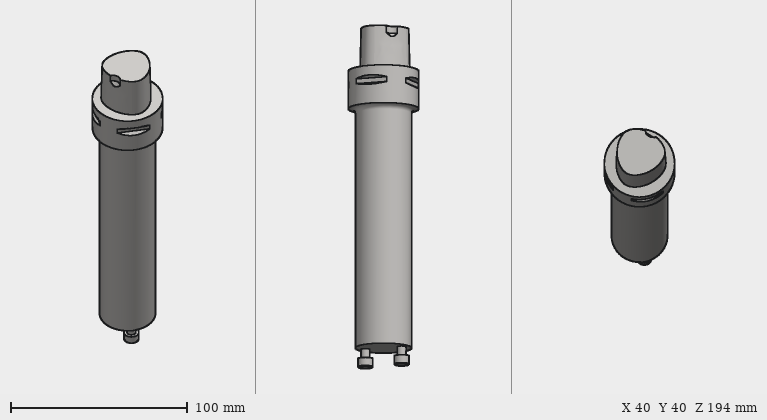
import cadquery as cq
import math

total_length = 194.0
coupling_length = 24.0
flange_length = 21.7
flange_top = total_length - coupling_length
flange_bottom = flange_top - flange_length

body_diameter = 32.0
flange_diameter = 40.0
neck_fillet = 2.7

screw_shank_diameter = 5.0
screw_head_diameter = 8.5
screw_head_length = 5.2
screw_shank_length = 5.2
screw_chamfer = 0.5
screw_spacing = 15.7
screw_offset = screw_spacing / 2
body_bottom = screw_head_length + screw_shank_length

coupling_base_diameter = 28.3
coupling_base_radius = coupling_base_diameter / 2
coupling_taper = 1 / 40
coupling_top_radius = coupling_base_radius - coupling_length * coupling_taper
lobe_eccentricity = 0.87
lobe_half_angle = 26.5
lobe_count = 3
lobe_spacing = 360 / lobe_count
first_lobe_angle = 90.0
points_per_stretch = 9

notch_radius = 4.0
notch_axis_y = -14.7
notch_straight_depth = 4.0
notch_tip_angle = 90.0

groove_count = 4
groove_first_angle = 45.0
groove_floor_distance = 17.7
groove_floor_width = 2.7
groove_flank_angle = 30.0
groove_z = 161.8


def coupling_point(radius, angle):
    """Point of the lobed outline whose outward normal has the given angle."""
    normal = math.radians(angle)
    phase = math.radians(lobe_count * (angle - first_lobe_angle))
    reach = radius + lobe_eccentricity * math.cos(phase)
    slide = -lobe_count * lobe_eccentricity * math.sin(phase)
    x = reach * math.cos(normal) - slide * math.sin(normal)
    y = reach * math.sin(normal) + slide * math.cos(normal)
    return cq.Vector(x, y, 0)


def coupling_stretch(radius, start, end):
    """Smooth piece of the lobed outline between two normal angles."""
    step = (end - start) / (points_per_stretch - 1)
    points = [coupling_point(radius, start + i * step) for i in range(points_per_stretch)]
    return cq.Edge.makeSpline(points)


def coupling_outline(radius, z):
    """Closed lobed outline: three lobes joined by three flatter sides."""
    edges = []
    for lobe in range(lobe_count):
        centre = first_lobe_angle + lobe * lobe_spacing
        lobe_end = centre + lobe_half_angle
        next_lobe_start = centre + lobe_spacing - lobe_half_angle
        edges.append(coupling_stretch(radius, centre - lobe_half_angle, lobe_end))
        edges.append(coupling_stretch(radius, lobe_end, next_lobe_start))
    return cq.Wire.assembleEdges(edges).translate(cq.Vector(0, 0, z))


def make_coupling():
    base = coupling_outline(coupling_base_radius, flange_top)
    top = coupling_outline(coupling_top_radius, total_length)
    return cq.Workplane(cq.Solid.makeLoft([base, top], True))


def make_notch():
    """Upright drilled hole, straight at the top and ending in a cone."""
    tip_length = notch_radius / math.tan(math.radians(notch_tip_angle / 2))
    straight_bottom = total_length - notch_straight_depth
    return (
        cq.Workplane("XZ", origin=(0, notch_axis_y, 0))
        .moveTo(0, total_length)
        .lineTo(notch_radius, total_length)
        .lineTo(notch_radius, straight_bottom)
        .lineTo(0, straight_bottom - tip_length)
        .close()
        .revolve(360, (0, 0, 0), (0, 1, 0))
    )


def make_body():
    """Shank and flange turned in one piece, with a fillet under the flange."""
    body_radius = body_diameter / 2
    flange_radius = flange_diameter / 2
    return (
        cq.Workplane("XZ")
        .moveTo(0, body_bottom)
        .lineTo(body_radius, body_bottom)
        .lineTo(body_radius, flange_bottom - neck_fillet)
        .radiusArc((body_radius + neck_fillet, flange_bottom), neck_fillet)
        .lineTo(flange_radius, flange_bottom)
        .lineTo(flange_radius, flange_top)
        .lineTo(0, flange_top)
        .close()
        .revolve(360, (0, 0, 0), (0, 1, 0))
    )


def make_groove():
    """Straight trapezoidal groove across the +X side, opening outward."""
    flange_radius = flange_diameter / 2
    depth = flange_radius - groove_floor_distance
    floor_half = groove_floor_width / 2
    mouth_half = floor_half + depth * math.tan(math.radians(groove_flank_angle))
    return (
        cq.Workplane("XZ")
        .moveTo(groove_floor_distance, groove_z - floor_half)
        .lineTo(flange_radius, groove_z - mouth_half)
        .lineTo(flange_radius, groove_z + mouth_half)
        .lineTo(groove_floor_distance, groove_z + floor_half)
        .close()
        .extrude(flange_radius, both=True)
    )


def make_screw(x, y):
    head = (
        cq.Workplane("XY", origin=(x, y, 0))
        .circle(screw_head_diameter / 2)
        .extrude(screw_head_length)
        .faces("<Z")
        .chamfer(screw_chamfer)
    )
    shank = (
        cq.Workplane("XY", origin=(x, y, screw_head_length))
        .circle(screw_shank_diameter / 2)
        .extrude(screw_shank_length)
    )
    return head.union(shank)


result = make_body().union(make_coupling()).cut(make_notch())

for index in range(groove_count):
    angle = groove_first_angle + index * 360 / groove_count
    result = result.cut(make_groove().rotate((0, 0, 0), (0, 0, 1), angle))

for side in (-1, 1):
    result = result.union(make_screw(side * screw_offset, -side * screw_offset))